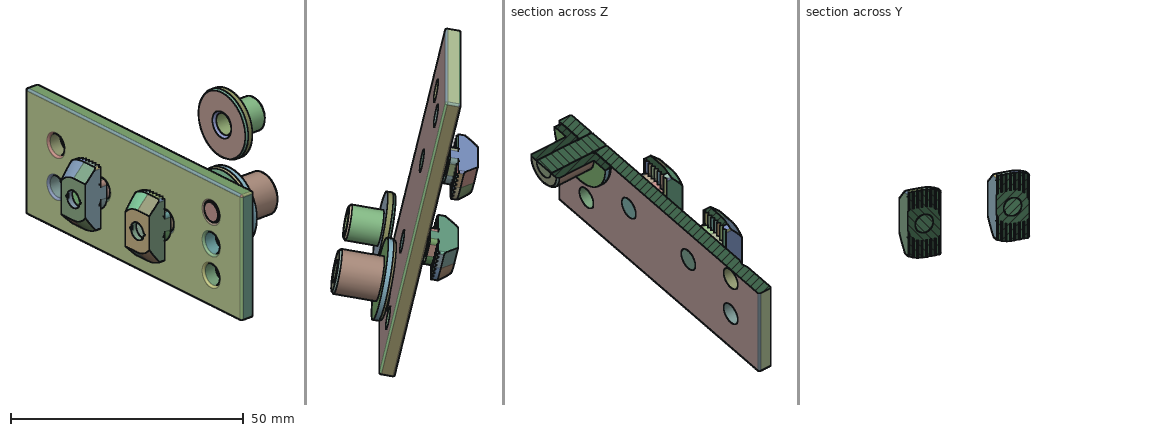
import cadquery as cq
import math


plate_length = 71.0
plate_height = 30.0
plate_thickness = 3.5
edge_round = 0.5
plate_front = -plate_thickness
mid_height = plate_height / 2

thread_dia = 5.0
hole_round = 0.5
left_holes_x = 10.0
left_holes_pitch = 10.0
right_holes_x = 61.0
right_holes_pitch = 7.5
nut_positions_x = (25.0, 46.0)

flange_thickness = 1.8
flange_chamfer_length = 0.6
flange_chamfer_width = 0.3
bore_chamfer = 0.6
shank_end_chamfer = 0.5
large_flange_dia = 18.0
large_shank_dia = 9.9
large_bushing_length = 11.6
small_flange_dia = 16.0
small_shank_dia = 7.9
small_bushing_length = 9.3
small_bushing_x = 60.5
small_bushing_z = 42.0
large_bushing_z = mid_height + right_holes_pitch

nut_width = 8.0
nut_turning_dia = 16.0
nut_gap = 1.9
neck_height = 1.5
nut_body_thickness = 4.6
nut_rim_thickness = 1.6
nut_corner_round = 0.5
neck_corner_round = 1.0
tooth_pitch = 1.05
tooth_depth = 0.6
groove_count = 8
core_dia = 4.1
notch_span = 4.9
notch_half_height = 1.0
notch_depth = 0.5
neck_back = plate_front - nut_gap
shoulder = neck_back - neck_height
nut_front = shoulder - nut_body_thickness

nut_screw_length = 10.0
screw_step_clearance = 0.2
screw_end_chamfer = 0.25


def rod(dia, y_back, y_front):
    """Cylinder along Y between two Y stations, centred on X = Z = 0."""
    length = y_back - y_front
    return cq.Workplane("XZ", origin=(0, y_back, 0)).circle(dia / 2).extrude(length)


def make_plate():
    body = cq.Workplane("XY").box(plate_length, plate_thickness, plate_height, centered=False)
    body = body.translate((0, plate_front, 0)).edges().fillet(edge_round)
    holes = [(left_holes_x, mid_height + side * left_holes_pitch / 2) for side in (-1, 1)]
    holes += [(right_holes_x, mid_height + step * right_holes_pitch) for step in (-1, 0, 1)]
    holes += [(x, mid_height) for x in nut_positions_x]
    for x, z in holes:
        body = body.cut(rod(thread_dia, 0, plate_front).translate((x, 0, z)))
    return body.faces("<Y").edges("%CIRCLE").fillet(hole_round)


def make_bushing(flange_dia, shank_dia, length):
    """Turned bushing about Y with its flange face at Y = 0 and its shank toward +Y."""
    bore_radius = thread_dia / 2
    flange_radius = flange_dia / 2
    shank_radius = shank_dia / 2
    profile = [
        (bore_radius + bore_chamfer, 0),
        (flange_radius - flange_chamfer_width, 0),
        (flange_radius, flange_chamfer_length),
        (flange_radius, flange_thickness),
        (shank_radius, flange_thickness),
        (shank_radius, length - shank_end_chamfer),
        (shank_radius - shank_end_chamfer, length),
        (bore_radius, length),
        (bore_radius, bore_chamfer),
    ]
    return cq.Workplane("XY").polyline(profile).close().revolve(360, (0, 0, 0), (0, 1, 0))


def opposite_quarters(half_length, y_back, y_front, side):
    """Boxes over two opposite quarters: upper right and lower left for side 1, the others for -1."""
    half_width = nut_width / 2
    centres = [(side * half_width / 2, half_length / 2), (-side * half_width / 2, -half_length / 2)]
    start = cq.Workplane("XZ", origin=(0, y_back, 0))
    return start.pushPoints(centres).rect(half_width, half_length).extrude(y_back - y_front)


def quarter_turn_block(half_profile):
    """Block of the nut's width, square in two opposite quarters and turned about Y in the other two.

    half_profile lists (Y, half length) points from back to front.
    """
    y_back, half_length = half_profile[0]
    y_front = half_profile[-1][0]

    mirrored = [(y, -z) for y, z in reversed(half_profile)]
    square = cq.Workplane("YZ").polyline(half_profile + mirrored).close().extrude(nut_width / 2, both=True)
    square = square.intersect(opposite_quarters(half_length, y_back, y_front, 1))

    radial_profile = [(0, y_back)] + [(radius, y) for y, radius in half_profile] + [(0, y_front)]
    turned = cq.Workplane("XY").polyline(radial_profile).close().revolve(360, (0, 0, 0), (0, 1, 0))
    turned = turned.intersect(opposite_quarters(half_length, y_back, y_front, -1))
    return square.union(turned)


def make_shoulder_grooves():
    """Row of V-groove cutters along Z that leave teeth across the shoulder of the nut."""
    half_pitch = tooth_pitch / 2
    groove = (
        cq.Workplane("XY")
        .polyline([(-half_pitch, shoulder), (0, shoulder - tooth_depth), (half_pitch, shoulder)])
        .close()
        .extrude(nut_turning_dia / 2, both=True)
    )
    first_x = -(groove_count - 1) * half_pitch
    return [groove.translate((first_x + index * tooth_pitch, 0, 0)) for index in range(groove_count)]


def round_side_edges(block, radius):
    """Round the edges along Y that border the flat sides of a block."""
    side_edges = [block.faces(side).edges("|Y") for side in ("<X", ">X")]
    return block.newObject(side_edges[0].vals() + side_edges[1].vals()).fillet(radius)


def make_side_notches():
    """Shallow bar across the front of the threaded hole, ending in a 90 degree point on each side."""
    tip = notch_span / 2
    shoulder_x = tip - notch_half_height
    outline = [
        (tip, 0),
        (shoulder_x, notch_half_height),
        (-shoulder_x, notch_half_height),
        (-tip, 0),
        (-shoulder_x, -notch_half_height),
        (shoulder_x, -notch_half_height),
    ]
    start = cq.Workplane("XZ", origin=(0, nut_front + notch_depth, 0))
    return start.polyline(outline).close().extrude(notch_depth)


def make_nut():
    half_length = nut_turning_dia / 2
    rim_front = shoulder - nut_rim_thickness
    taper = rim_front - nut_front
    body = quarter_turn_block(
        [(shoulder, half_length), (rim_front, half_length), (nut_front, half_length - taper)]
    )
    body = round_side_edges(body, nut_corner_round)
    for groove in make_shoulder_grooves():
        body = body.cut(groove)

    half_width = nut_width / 2
    neck_front = shoulder - tooth_depth
    neck = quarter_turn_block([(neck_back, half_width), (neck_front, half_width)])
    for side in (-1, 1):
        corner = cq.selectors.NearestToPointSelector(
            (side * half_width, (neck_back + neck_front) / 2, side * half_width)
        )
        neck = neck.edges("|Y").edges(corner).fillet(neck_corner_round)

    return body.union(neck).cut(rod(core_dia, neck_back, nut_front)).cut(make_side_notches())


def make_nut_screw():
    step = neck_back + screw_step_clearance
    return rod(thread_dia, 0, step).union(rod(core_dia, step, -nut_screw_length))


def make_bushing_screw():
    screw = rod(thread_dia, large_bushing_length, plate_front)
    return screw.faces("<Y").chamfer(screw_end_chamfer)


plate = make_plate()
small_bushing = make_bushing(small_flange_dia, small_shank_dia, small_bushing_length)
small_bushing = small_bushing.translate((small_bushing_x, 0, small_bushing_z))
large_bushing = make_bushing(large_flange_dia, large_shank_dia, large_bushing_length)
large_bushing = large_bushing.translate((right_holes_x, 0, large_bushing_z))
bushing_screw = make_bushing_screw().translate((right_holes_x, 0, large_bushing_z))
nuts = [make_nut().translate((x, 0, mid_height)) for x in nut_positions_x]
nut_screws = [make_nut_screw().translate((x, 0, mid_height)) for x in nut_positions_x]

result = cq.Compound.makeCompound(
    [plate.val(), small_bushing.val(), large_bushing.val(), bushing_screw.val()]
    + [nut.val() for nut in nuts]
    + [screw.val() for screw in nut_screws]
)